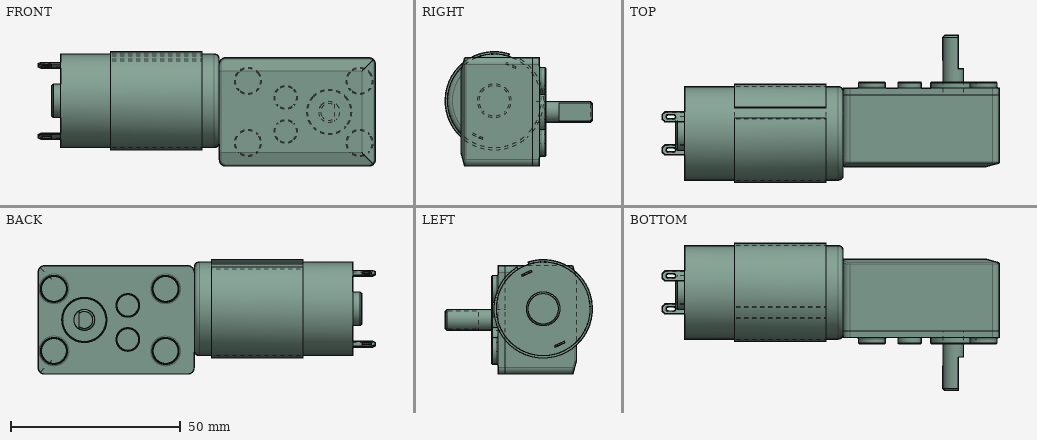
import cadquery as cq


motor_tilt = 25.0
motor_radius = 13.8
motor_back_x = 6.7
motor_front_x = 53.3
motor_front_fillet = 1.5
rear_boss_radius = 5.0
rear_boss_length = 2.7
rear_boss_chamfer = 0.5

ring_radius = 14.5
ring_back_x = 21.25
ring_length = 27.0
ring_slit_width = 3.6

terminal_width = 3.2
terminal_thickness = 0.5
terminal_length = motor_back_x
terminal_offset = 11.5
terminal_tip_chamfer = 0.9
terminal_slot_length = 2.8
terminal_slot_width = 1.4
terminal_slot_x = 2.6

gearbox_length = 46.0
gearbox_height = 32.0
gearbox_z = -3.3
gearbox_corner_radius = 2.0
lid_outer_y = 13.3
lid_thickness = 2.0
lid_inner_y = lid_outer_y - lid_thickness
gearbox_depth = 23.1
housing_depth = gearbox_depth - lid_thickness
housing_outer_y = lid_outer_y - gearbox_depth
gearbox_x = motor_front_x + gearbox_length / 2
gearbox_end_x = motor_front_x + gearbox_length

slope_inset = 4.0
slope_drop = 1.1
rim_fillet = 0.5
rim_margin = 1.0

boss_height = 1.9
boss_top_chamfer = 0.3
screw_boss_radius = 4.0
screw_boss_base_fillet = 0.4
screw_boss_columns = (61.8, 94.6)
screw_boss_z_offset = 9.1
bearing_boss_radius = 3.5
bearing_boss_x = 72.9
bearing_boss_z_offsets = (4.3, -5.8)
shaft_boss_radius = 6.7

shaft_radius = 3.1
shaft_x = 85.7
shaft_tip_y = 28.9
shaft_tip_chamfer = 0.6
shaft_flat_offset = 1.5
shaft_flat_start_y = 19.1


def cylinder_x(radius, start_x, length):
    """Cylinder on the motor axis."""
    return cq.Workplane("YZ").workplane(offset=start_x).circle(radius).extrude(length)


def cylinder_y(radius, x, z, start_y, length):
    """Cylinder along +Y."""
    return cq.Workplane("XZ", origin=(x, start_y, z)).circle(radius).extrude(-length)


def tilted(body):
    """Turn a body built upright about the motor axis to the motor's tilt."""
    return body.rotate((0, 0, 0), (1, 0, 0), -motor_tilt)


def make_motor():
    can = cylinder_x(motor_radius, motor_back_x, motor_front_x - motor_back_x)
    can = can.faces(">X").edges().fillet(motor_front_fillet)
    rear_boss = cylinder_x(rear_boss_radius, motor_back_x - rear_boss_length, rear_boss_length)
    rear_boss = rear_boss.faces("<X").edges().chamfer(rear_boss_chamfer)
    return tilted(can.union(rear_boss))


def make_flux_ring():
    ring = cylinder_x(ring_radius, ring_back_x, ring_length)
    ring = ring.cut(cylinder_x(motor_radius, ring_back_x, ring_length))
    slit = cq.Workplane("XY", origin=(ring_back_x + ring_length / 2, 0, 0))
    slit = slit.rect(ring_length, ring_slit_width).extrude(ring_radius)
    return tilted(ring.cut(slit))


def make_terminal(side):
    """Flat slotted lug on the back of the motor; side is +1 or -1."""
    plane = cq.Workplane("XY", origin=(0, 0, side * terminal_offset - terminal_thickness / 2))
    lug = plane.rect(terminal_length, terminal_width).extrude(terminal_thickness)
    lug = lug.translate((terminal_length / 2, 0, 0))
    lug = lug.edges("|Z and <X").chamfer(terminal_tip_chamfer)
    slot = plane.center(terminal_slot_x, 0).slot2D(terminal_slot_length, terminal_slot_width)
    return tilted(lug.cut(slot.extrude(terminal_thickness)))


def gearbox_block(start_y, depth):
    """Rounded rectangular block with the gearbox outline, from start_y towards +Y."""
    plane = cq.Workplane("XZ", origin=(gearbox_x, start_y, gearbox_z))
    block = plane.rect(gearbox_length, gearbox_height).extrude(-depth)
    return block.edges("|Y").fillet(gearbox_corner_radius)


def border_wedge(length):
    """Wedge centred on the Z axis that slopes the +X border of a face lying at Y = 0."""
    wedge = cq.Workplane("XY").workplane(offset=-length / 2)
    return wedge.polyline([(0, 0), (-slope_inset, 0), (0, slope_drop)]).close().extrude(length)


def front_zone(inset):
    """Selector for edges near the -Y face, at least inset inside the gearbox outline."""
    half_length = gearbox_length / 2 - inset
    half_height = gearbox_height / 2 - inset
    depth = 2 * slope_drop
    return cq.selectors.BoxSelector(
        (gearbox_x - half_length, housing_outer_y - depth, gearbox_z - half_height),
        (gearbox_x + half_length, housing_outer_y + depth, gearbox_z + half_height),
    )


def make_housing():
    """Box with sloped borders on three sides of its -Y face and a rounded rim around it."""
    housing = gearbox_block(housing_outer_y, housing_depth)
    end_wedge = border_wedge(gearbox_height).translate((gearbox_end_x, housing_outer_y, gearbox_z))
    housing = housing.cut(end_wedge)
    for side in (1, -1):
        side_wedge = border_wedge(gearbox_length).rotate((0, 0, 0), (0, 1, 0), -90 * side)
        edge_z = gearbox_z + side * gearbox_height / 2
        housing = housing.cut(side_wedge.translate((gearbox_x, housing_outer_y, edge_z)))
    return housing.edges(front_zone(-rim_margin) - front_zone(rim_margin)).fillet(rim_fillet)


def lid_boss(radius, x, z):
    """Low round boss on the lid's outer face, chamfered at the top."""
    boss = cylinder_y(radius, x, z, lid_outer_y, boss_height)
    return boss.faces(">Y").edges().chamfer(boss_top_chamfer)


def screw_boss(x, z):
    """Boss with a concave fillet around its foot."""
    foot_radius = screw_boss_radius + screw_boss_base_fillet
    profile = (
        cq.Workplane("XY")
        .moveTo(0, 0)
        .lineTo(foot_radius, 0)
        .radiusArc((screw_boss_radius, screw_boss_base_fillet), screw_boss_base_fillet)
        .lineTo(0, screw_boss_base_fillet)
        .close()
    )
    foot = profile.revolve(360, (0, 0, 0), (0, 1, 0)).translate((x, lid_outer_y, z))
    return lid_boss(screw_boss_radius, x, z).union(foot)


def make_lid():
    """Cover plate with its bosses and the bore for the output shaft."""
    lid = gearbox_block(lid_inner_y, lid_thickness)
    for x in screw_boss_columns:
        for side in (1, -1):
            lid = lid.union(screw_boss(x, gearbox_z + side * screw_boss_z_offset))
    for z_offset in bearing_boss_z_offsets:
        lid = lid.union(lid_boss(bearing_boss_radius, bearing_boss_x, gearbox_z + z_offset))
    lid = lid.union(lid_boss(shaft_boss_radius, shaft_x, gearbox_z))
    bore_length = lid_thickness + boss_height
    return lid.cut(cylinder_y(shaft_radius, shaft_x, gearbox_z, lid_inner_y, bore_length))


def make_shaft():
    """Round shaft from the inner face of the lid, flattened towards +X over its outer part."""
    shaft = cylinder_y(shaft_radius, shaft_x, gearbox_z, lid_inner_y, shaft_tip_y - lid_inner_y)
    shaft = shaft.faces(">Y").edges().chamfer(shaft_tip_chamfer)
    flat_length = shaft_tip_y - shaft_flat_start_y
    flat_cut = cq.Workplane("XY").box(
        shaft_radius, flat_length, 2 * shaft_radius, centered=(False, False, True)
    )
    return shaft.cut(flat_cut.translate((shaft_x + shaft_flat_offset, shaft_flat_start_y, gearbox_z)))


motor = make_motor()
flux_ring = make_flux_ring()
terminals = [make_terminal(side) for side in (1, -1)]
housing = make_housing()
lid = make_lid()
shaft = make_shaft()

result = cq.Compound.makeCompound([
    motor.val(),
    flux_ring.val(),
    *[terminal.val() for terminal in terminals],
    housing.val(),
    lid.val(),
    shaft.val(),
])